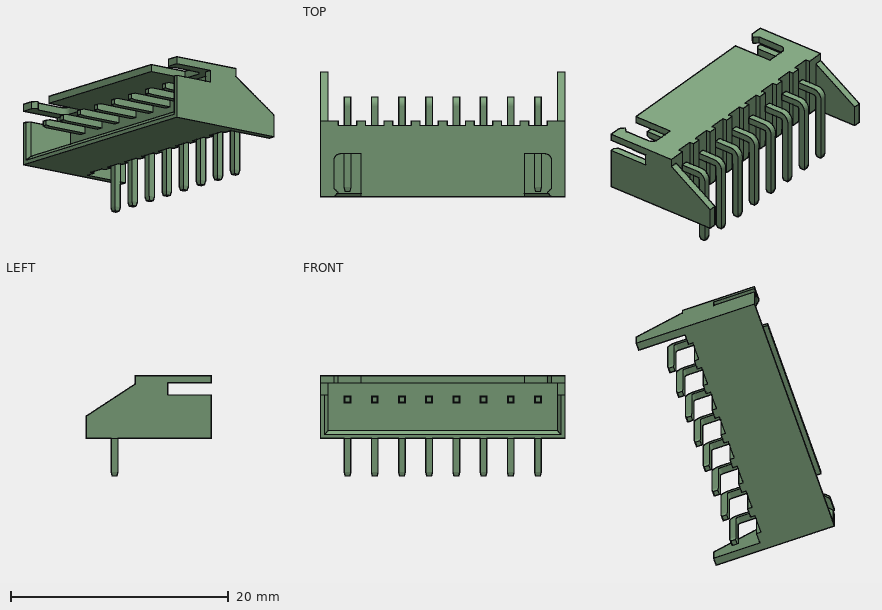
import cadquery as cq

WIDTH = 22.5
PIN_COUNT = 8
PITCH = WIDTH / (PIN_COUNT + 1)

BODY_DEPTH = 7.0
BODY_HEIGHT = 5.75
WALL = 0.72
ROOF = 0.68
CAVITY_DEPTH = 5.0

LEAD_IN_DEPTH = 0.32
LEAD_IN_SIDE = 0.32
LEAD_IN_FLOOR = 0.35

EAR_REACH = 11.5
EAR_FRONT_HEIGHT = 5.0
EAR_REAR_HEIGHT = 2.05

NOTCH_WIDTH = 1.66
NOTCH_DEPTH = 0.43

OPENING_DEPTH = 3.98
SLOT_HEIGHT = 1.1
WINDOW_INSET = 1.24
WINDOW_WIDTH = PITCH
WINDOW_RADIUS = 0.65
LATCH_TOOTH = 0.4

PIN_SIZE = 0.63
PIN_AXIS_HEIGHT = 3.55
PIN_FRONT = 0.52
PIN_REAR = 9.2
PIN_BOTTOM = -3.49
BEND_RADIUS = 0.88
TIP_LENGTH = 0.35
TIP_INSET = 0.1

HALF_WIDTH = WIDTH / 2
INNER_HALF = HALF_WIDTH - WALL
CEILING = BODY_HEIGHT - ROOF
SLOT_FLOOR = CEILING - SLOT_HEIGHT
PIN_POSITIONS = [(i - (PIN_COUNT - 1) / 2) * PITCH for i in range(PIN_COUNT)]


def box(x_min, x_max, y_min, y_max, z_min, z_max):
    size = (x_max - x_min, y_max - y_min, z_max - z_min)
    return cq.Workplane("XY").box(*size, centered=False).translate((x_min, y_min, z_min))


def make_shell():
    """Housing block and its two ears, made from one side profile."""
    profile = [
        (0, 0),
        (EAR_REACH, 0),
        (EAR_REACH, EAR_REAR_HEIGHT),
        (BODY_DEPTH, EAR_FRONT_HEIGHT),
        (BODY_DEPTH, BODY_HEIGHT),
        (0, BODY_HEIGHT),
    ]
    block = cq.Workplane("YZ").polyline(profile).close().extrude(HALF_WIDTH, both=True)
    return block.cut(box(-INNER_HALF, INNER_HALF, BODY_DEPTH, EAR_REACH, 0, BODY_HEIGHT))


def make_cavity():
    return box(-INNER_HALF, INNER_HALF, 0, CAVITY_DEPTH, WALL, CEILING)


def make_lead_in():
    """Tapered cut that bevels the floor and side walls of the mouth up to the side slots."""
    outer_half = INNER_HALF + LEAD_IN_SIDE
    outer_floor = WALL - LEAD_IN_FLOOR

    def rectangle(half_width, bottom, y):
        points = [
            (-half_width, bottom),
            (half_width, bottom),
            (half_width, SLOT_FLOOR),
            (-half_width, SLOT_FLOOR),
        ]
        return cq.Wire.makePolygon([cq.Vector(x, y, z) for x, z in points], close=True)

    mouth = rectangle(outer_half, outer_floor, 0)
    throat = rectangle(INNER_HALF, WALL, LEAD_IN_DEPTH)
    return cq.Workplane(cq.Solid.makeLoft([mouth, throat], True))


def make_side_slots():
    """Slots through both side walls, directly below the roof."""
    return box(-HALF_WIDTH, HALF_WIDTH, 0, OPENING_DEPTH, SLOT_FLOOR, CEILING)


def make_latch_window():
    """Roof window on the -X side, with a pointed tooth beside its open end."""
    outer = -HALF_WIDTH + WINDOW_INSET
    inner = outer + WINDOW_WIDTH
    return (
        cq.Workplane("XY", origin=(0, 0, CEILING))
        .moveTo(outer, 0)
        .lineTo(outer + LATCH_TOOTH, LATCH_TOOTH)
        .lineTo(outer, 2 * LATCH_TOOTH)
        .lineTo(outer, OPENING_DEPTH - WINDOW_RADIUS)
        .radiusArc((outer + WINDOW_RADIUS, OPENING_DEPTH), WINDOW_RADIUS)
        .lineTo(inner, OPENING_DEPTH)
        .lineTo(inner, 0)
        .close()
        .extrude(ROOF)
    )


def make_notch(x):
    half = NOTCH_WIDTH / 2
    return box(x - half, x + half, BODY_DEPTH - NOTCH_DEPTH, BODY_DEPTH, 0, BODY_HEIGHT)


def make_tip(plane):
    """Tapered square point that narrows along the normal of the plane."""
    tip_size = PIN_SIZE - 2 * TIP_INSET
    return (
        cq.Workplane(plane)
        .rect(PIN_SIZE, PIN_SIZE)
        .workplane(offset=TIP_LENGTH)
        .rect(tip_size, tip_size)
        .loft(combine=True)
    )


def make_pin(x):
    half = PIN_SIZE / 2
    top = PIN_AXIS_HEIGHT + half
    shank_front = PIN_FRONT + TIP_LENGTH
    shank_bottom = PIN_BOTTOM + TIP_LENGTH
    inner_radius = BEND_RADIUS - PIN_SIZE
    bend_y = PIN_REAR - BEND_RADIUS
    bend_z = top - BEND_RADIUS
    shank = (
        cq.Workplane("YZ", origin=(x, 0, 0))
        .moveTo(shank_front, top)
        .lineTo(bend_y, top)
        .radiusArc((PIN_REAR, bend_z), BEND_RADIUS)
        .lineTo(PIN_REAR, shank_bottom)
        .lineTo(PIN_REAR - PIN_SIZE, shank_bottom)
        .lineTo(PIN_REAR - PIN_SIZE, bend_z)
        .radiusArc((bend_y, top - PIN_SIZE), -inner_radius)
        .lineTo(shank_front, top - PIN_SIZE)
        .close()
        .extrude(half, both=True)
    )
    front_plane = cq.Plane((x, shank_front, PIN_AXIS_HEIGHT), (1, 0, 0), (0, -1, 0))
    bottom_plane = cq.Plane((x, PIN_REAR - half, shank_bottom), (1, 0, 0), (0, 0, -1))
    return shank.union(make_tip(front_plane)).union(make_tip(bottom_plane))


latch_window = make_latch_window()
housing = make_shell().cut(make_cavity()).cut(make_lead_in()).cut(make_side_slots())
housing = housing.cut(latch_window).cut(latch_window.mirror("YZ"))

for pin_x in PIN_POSITIONS:
    housing = housing.cut(make_notch(pin_x))

result = housing
for pin_x in PIN_POSITIONS:
    result = result.union(make_pin(pin_x))